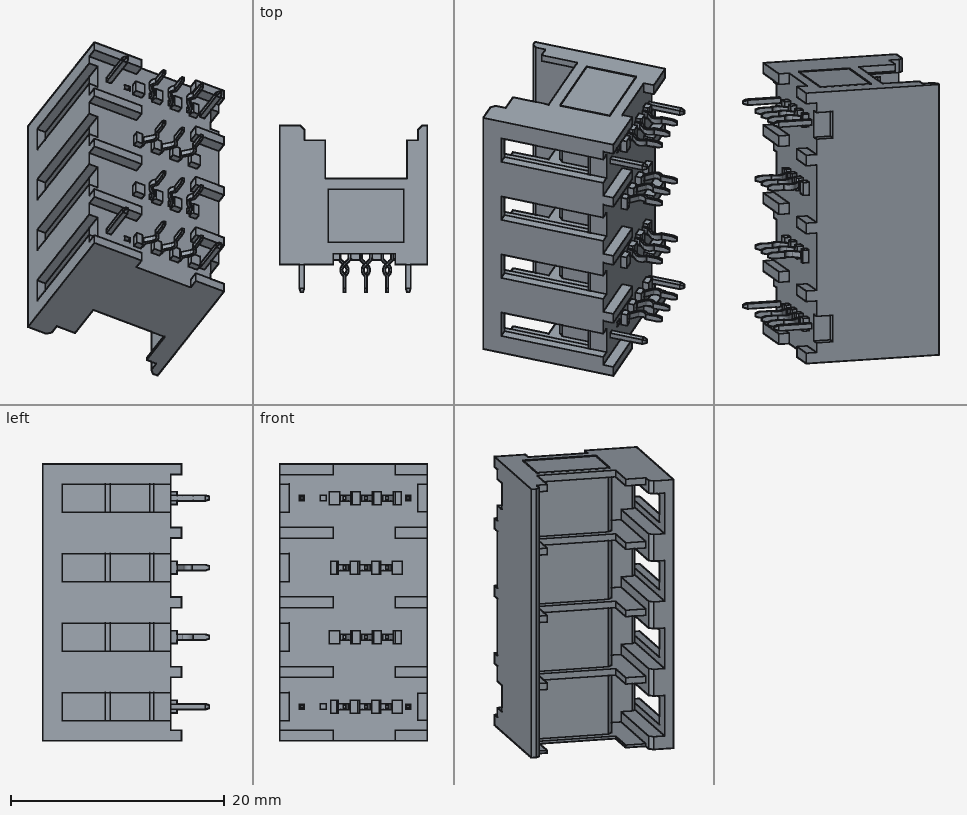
import cadquery as cq
import math


width = 13.8
height = 25.9
depth = 12.0
row_pitch = 6.5
row_count = 4
row_heights = [(i - (row_count - 1) / 2) * row_pitch for i in range(row_count)]
side_wall = 0.88

left_post_width = 2.33
lip_chamfer = 0.4
plate_left = 4.27
plate_right = 11.9
plate_front = depth - 1.37
plate_notch = depth - 4.95
top_plate = 0.65
partition = 0.62

bay_floor = depth - 5.85
latch_floor = depth - 10.02
bay_chamfer = 0.47
latch_chamfer = 0.35

window_height = 2.62
window_front = depth - 1.81
pocket_height = 3.9
right_notch_height = 2.55

rib_height = 1.0
rib_length = 1.0
rib_left_width = 5.02
rib_right_width = 3.0

panel_left = 4.53
panel_width = 7.07
panel_front = depth - 5.98
panel_length = 4.95
panel_depth = 0.08

contact_pitch = 2.0
contact_middle = 8.05
contact_thickness = 0.23
contact_width = 0.57
contact_offset = 0.47
contact_bow = 0.28
contact_bow_radius = 0.57
contact_bow_drop = 1.53
contact_tip_length = 0.4
contact_tip_inset = 0.13
pin_length = 3.6

embed = 0.25

block_length = 0.6
block_height = 1.22
block_width = 0.88
end_block_width = 0.73
plain_block_width = 0.95
plain_block_gap = 0.47
block_chamfer = 0.15

mount_pin_places = [2.07, 12.02]
mount_pin_size = 0.5
mount_tip_length = 0.4
mount_tip_inset = 0.13
hole_place = 4.07
hole_width = 0.57
hole_height = 0.52
hole_depth = 0.52


def box(x0, x1, y0, y1, z0, z1):
    return cq.Workplane("XY").box(x1 - x0, y1 - y0, z1 - z0, centered=False).translate((x0, y0, z0))


def prism(points, z0, z1):
    return cq.Workplane("XY").workplane(offset=z0).polyline(points).close().extrude(z1 - z0)


def housing_block():
    right_inner = width - side_wall
    outline = [
        (0, 0),
        (width, 0),
        (width, depth),
        (right_inner + lip_chamfer, depth),
        (right_inner, depth - lip_chamfer),
        (right_inner, plate_front),
        (plate_right, plate_front),
        (plate_right, plate_notch),
        (plate_left, plate_notch),
        (plate_left, plate_front),
        (left_post_width, plate_front),
        (left_post_width, depth - lip_chamfer),
        (left_post_width - lip_chamfer, depth),
        (0, depth),
    ]
    return prism(outline, -height / 2, height / 2)


def bay(z0, z1):
    """Main plug space of one row, with a bevelled step down to the latch side."""
    outline = [
        (left_post_width, depth),
        (left_post_width, latch_floor),
        (plate_left, latch_floor),
        (plate_left, bay_floor - bay_chamfer),
        (plate_left + bay_chamfer, bay_floor),
        (width - side_wall, bay_floor),
        (width - side_wall, depth),
    ]
    return prism(outline, z0, z1)


def latch_pocket(z):
    """Space between the left wall and the bay, with a bevelled floor edge."""
    outline = [
        (side_wall, depth),
        (side_wall, latch_floor - latch_chamfer),
        (side_wall + latch_chamfer, latch_floor),
        (left_post_width, latch_floor),
        (left_post_width, depth),
    ]
    return prism(outline, z - pocket_height / 2, z + pocket_height / 2)


def window(z):
    return box(0, side_wall, 0, window_front, z - window_height / 2, z + window_height / 2)


def right_notch(z):
    return box(width - side_wall, width, 0, latch_floor - latch_chamfer,
               z - right_notch_height / 2, z + right_notch_height / 2)


def rib_pair(z0):
    left = box(0, rib_left_width, -rib_length, 0, z0, z0 + rib_height)
    right = box(width - rib_right_width, width, -rib_length, 0, z0, z0 + rib_height)
    return left.union(right)


def contact(x, z, side):
    """Flat contact: a stem beside its block, 45 degree legs to and from a rounded bow, a straight end.

    Each edge of the strip runs parallel to its centre line at half the thickness.
    """
    bow_center = contact_bow_radius - contact_bow

    def place(u, y):
        return (x + side * u, y)

    def edge_points(shift):
        radius = contact_bow_radius - shift
        arc_x = bow_center - radius * math.sqrt(0.5)
        arc_rise = radius * math.sqrt(0.5)
        stem_x = contact_offset + shift
        return {
            "start": place(stem_x, embed),
            "stem": place(stem_x, -contact_bow_drop + arc_rise + stem_x - arc_x),
            "bow_in": place(arc_x, -contact_bow_drop + arc_rise),
            "bow_peak": place(bow_center - radius, -contact_bow_drop),
            "bow_out": place(arc_x, -contact_bow_drop - arc_rise),
            "straight": place(shift, -contact_bow_drop - arc_rise - (shift - arc_x)),
            "end": place(shift, -pin_length),
        }

    outer = edge_points(contact_thickness / 2)
    inner = edge_points(-contact_thickness / 2)
    blade = (
        cq.Workplane("XY", origin=(0, 0, z))
        .moveTo(*outer["start"])
        .lineTo(*outer["stem"])
        .lineTo(*outer["bow_in"])
        .threePointArc(outer["bow_peak"], outer["bow_out"])
        .lineTo(*outer["straight"])
        .lineTo(*outer["end"])
        .lineTo(*inner["end"])
        .lineTo(*inner["straight"])
        .lineTo(*inner["bow_out"])
        .threePointArc(inner["bow_peak"], inner["bow_in"])
        .lineTo(*inner["stem"])
        .lineTo(*inner["start"])
        .close()
        .extrude(contact_width / 2, both=True)
    )
    return blade.faces("<Y").edges("|X").chamfer(contact_tip_length, contact_tip_inset)


def support_block(x_near, block_size, z, side):
    """Block reaching from x_near towards the given side."""
    x_far = x_near + side * block_size
    return box(min(x_near, x_far), max(x_near, x_far), -block_length, 0,
               z - block_height / 2, z + block_height / 2)


def contact_row(z, side):
    """Three contacts, each against its own block on one side, and a plain block at the other end."""
    plain_block_edge = contact_middle - side * (contact_pitch + plain_block_gap)
    row = support_block(plain_block_edge, plain_block_width, z, -side)
    for i in (-1, 0, 1):
        x = contact_middle + side * i * contact_pitch
        block_size = end_block_width if i == 1 else block_width
        block = support_block(x + side * (contact_offset + contact_thickness / 2), block_size, z, side)
        near_face = "<X" if side > 0 else ">X"
        block = block.faces(near_face).edges("<Y").chamfer(block_chamfer)
        row = row.union(block).union(contact(x, z, side))
    return row


def mount_pin(x, z):
    pin = (
        cq.Workplane("XZ", origin=(x, embed, z))
        .rect(mount_pin_size, mount_pin_size)
        .extrude(pin_length + embed)
    )
    return pin.faces("<Y").chamfer(mount_tip_length, mount_tip_inset)


def blind_hole(z):
    return box(hole_place - hole_width / 2, hole_place + hole_width / 2, 0, hole_depth,
               z - hole_height / 2, z + hole_height / 2)


body = housing_block()

for z in row_heights:
    bay_bottom = z - (row_pitch - partition) / 2
    bay_top = min(z + (row_pitch - partition) / 2, height / 2 - top_plate)
    body = body.cut(bay(bay_bottom, bay_top)).cut(latch_pocket(z)).cut(window(z))

body = body.cut(box(panel_left, panel_left + panel_width, panel_front - panel_length, panel_front,
                    height / 2 - panel_depth, height / 2))

rib_middles = [z + row_pitch / 2 for z in row_heights[:-1]]
rib_bottoms = [-height / 2] + [z - rib_height / 2 for z in rib_middles] + [height / 2 - rib_height]
for z in rib_bottoms:
    body = body.union(rib_pair(z))

for i, z in enumerate(row_heights):
    body = body.union(contact_row(z, 1 if i % 2 else -1))

for z in (row_heights[0], row_heights[-1]):
    body = body.cut(right_notch(z)).cut(blind_hole(z))
    for x in mount_pin_places:
        body = body.union(mount_pin(x, z))

result = body